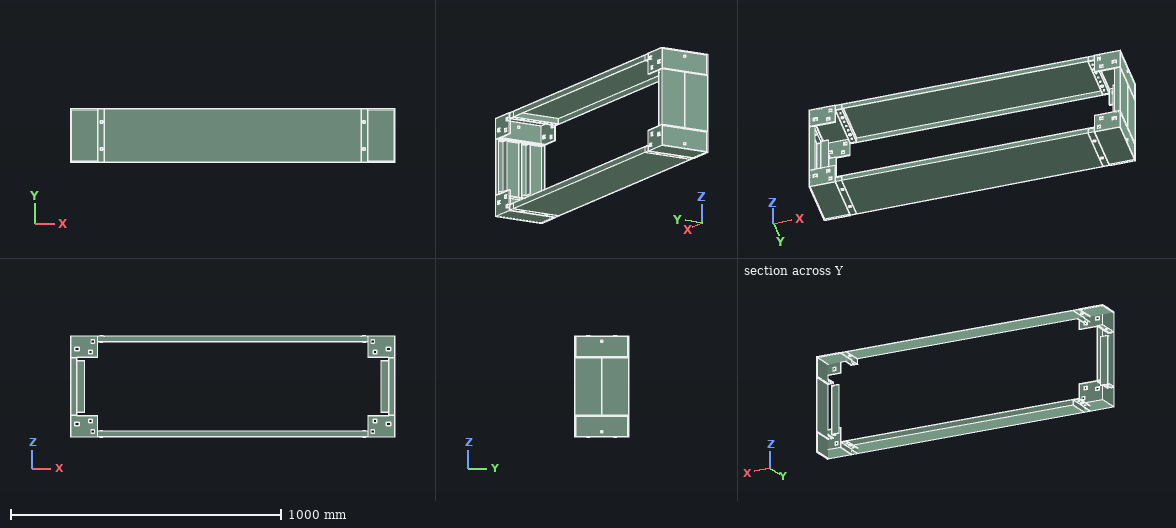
import cadquery as cq

FRAME_LENGTH = 1200.0
FRAME_DEPTH = 200.0
FRAME_HEIGHT = 375.0
HALF_LENGTH = FRAME_LENGTH / 2
HALF_HEIGHT = FRAME_HEIGHT / 2

CORNER_LENGTH = 100.0
CORNER_HEIGHT = 80.0
CORNER_PLATE = 3.0
CORNER_SIDE_WALL = 5.0
RIM_FLANGE_WIDTH = 25.0
SQUARE_HOLE = 12.0
LONG_HOLE = 16.0
SIDE_HOLES = [(82.5, 21.0, SQUARE_HOLE), (73.5, 60.0, SQUARE_HOLE), (23.5, 49.0, LONG_HOLE)]
END_HOLE_DIAMETER = 9.0
END_HOLE_DROP = 20.0

JOINT_HOLE_DIAMETER = 6.0
JOINT_HOLE_INSET = 11.0

SHEET = 1.5
BEND = 3.0
FLANGE = 23.0

PANEL_LENGTH = FRAME_LENGTH - 2 * CORNER_LENGTH
LIP_WIDTH = 26.0
LIP_LENGTH = 192.0
LIP_HOLE_DIAMETER = 5.0
LIP_HOLE_PITCH = 25.0
LIP_HOLE_STEPS = [-3, -1, 0, 1, 3]
BOLT_STEPS = [-2, 2]
BOLT_INSET = 14.0
BOLT_SHANK = 8.0
BOLT_HEAD = 12.0
BOLT_HEAD_BEVEL = 1.0
BOLT_HEAD_HEIGHT = 1.35

END_PANEL_WIDTH = FRAME_DEPTH / 2
END_PANEL_HEIGHT = FRAME_HEIGHT - 2 * CORNER_HEIGHT
RETURN_WIDTH = 20.0
LEAF_DEPTH = 29.0
LEAF_HEIGHT = 192.0
TAB_DEPTH = 18.0


def block(x_range, y_range, z_range):
    """Box between two limits on each axis, given in either order."""
    limits = [sorted(pair) for pair in (x_range, y_range, z_range)]
    sizes = [high - low for low, high in limits]
    lows = tuple(low for low, high in limits)
    return cq.Workplane("XY").box(*sizes, centered=False).translate(lows)


def joint_hole(x, y, z):
    """Cutter for a vertical joint hole through the sheets that meet at height z."""
    cutter = cq.Workplane("XY").circle(JOINT_HOLE_DIAMETER / 2).extrude(CORNER_PLATE, both=True)
    return cutter.translate((x, y, z))


def make_corner(side, level):
    """Open box with an outer plate, an end wall with a turned-in rim, and two side walls.

    side is -1 or +1 along X, level is -1 or +1 along Z.
    """
    end_x = side * HALF_LENGTH
    outer_z = level * HALF_HEIGHT
    mouth_x = end_x - side * CORNER_LENGTH
    rim_z = outer_z - level * CORNER_HEIGHT
    half_inside = FRAME_DEPTH / 2 - CORNER_SIDE_WALL

    corner = block((mouth_x, end_x), (-FRAME_DEPTH / 2, FRAME_DEPTH / 2), (rim_z, outer_z))
    corner = corner.cut(block(
        (mouth_x, end_x - side * CORNER_PLATE),
        (-half_inside, half_inside),
        (rim_z, outer_z - level * CORNER_PLATE),
    ))
    corner = corner.union(block(
        (end_x, end_x - side * RIM_FLANGE_WIDTH),
        (-half_inside, half_inside),
        (rim_z, rim_z + level * CORNER_PLATE),
    ))
    for joint_y in (-END_PANEL_WIDTH / 2, END_PANEL_WIDTH / 2):
        corner = corner.cut(joint_hole(end_x - side * JOINT_HOLE_INSET, joint_y, rim_z))
    for from_end, from_outer, length in SIDE_HOLES:
        hole = cq.Workplane("XY").box(length, 2 * FRAME_DEPTH, SQUARE_HOLE)
        corner = corner.cut(hole.translate((end_x - side * from_end, 0, outer_z - level * from_outer)))
    end_hole = cq.Workplane("YZ").circle(END_HOLE_DIAMETER / 2).extrude(CORNER_PLATE, both=True)
    return corner.cut(end_hole.translate((end_x, 0, outer_z - level * END_HOLE_DROP)))


def make_bolt():
    """Bolt along Z with its outer head on z = 0 and its inner head below the lip."""
    shank = cq.Workplane("XY").circle(BOLT_SHANK / 2).extrude(-FLANGE)
    outer_head = cq.Workplane("XY").circle(BOLT_HEAD / 2).extrude(BOLT_HEAD_HEIGHT)
    outer_head = outer_head.faces(">Z").chamfer(BOLT_HEAD_BEVEL)
    inner_head = outer_head.mirror("XY").translate((0, 0, -FLANGE))
    return shank.union(outer_head).union(inner_head)


def make_top_panel():
    """Downward tray whose ends step out into perforated lips held by bolts."""
    top_z = HALF_HEIGHT
    half_length = PANEL_LENGTH / 2
    half_depth = FRAME_DEPTH / 2
    full_x = (-half_length, half_length)

    panel = block(full_x, (-half_depth, half_depth), (top_z - FLANGE, top_z))
    panel = panel.edges("|X and >Z").fillet(BEND)
    panel = panel.cut(block(full_x, (SHEET - half_depth, half_depth - SHEET), (top_z - FLANGE, top_z - SHEET)))

    for side in (-1, 1):
        end_x = side * half_length
        step_x = end_x - side * LIP_WIDTH
        inside_y = (-LIP_LENGTH / 2, LIP_LENGTH / 2)
        wall = block((step_x, step_x + side * SHEET), inside_y, (top_z - FLANGE, top_z - SHEET))
        lip = block((step_x, end_x), inside_y, (top_z - FLANGE, top_z - FLANGE + SHEET))
        end_wall = block((end_x - side * SHEET, end_x), inside_y, (top_z - FLANGE, top_z - SHEET))
        panel = panel.union(wall).union(lip).union(end_wall)
        bolt_x = end_x - side * BOLT_INSET
        for step in LIP_HOLE_STEPS:
            hole = cq.Workplane("XY").circle(LIP_HOLE_DIAMETER / 2).extrude(SHEET)
            panel = panel.cut(hole.translate((bolt_x, step * LIP_HOLE_PITCH, top_z - FLANGE)))
        for step in BOLT_STEPS:
            panel = panel.union(make_bolt().translate((bolt_x, step * LIP_HOLE_PITCH, top_z)))
    return panel


def make_end_panel(side, near_y):
    """Shallow tray on end, with a return lip and an inward leaf along its +Y edge."""
    end_x = side * HALF_LENGTH
    flange_x = end_x - side * FLANGE
    inner_x = end_x - side * SHEET
    far_y = near_y + END_PANEL_WIDTH
    leaf_y = far_y - RETURN_WIDTH
    half_height = END_PANEL_HEIGHT / 2
    full_z = (-half_height, half_height)
    leaf_z = (-LEAF_HEIGHT / 2, LEAF_HEIGHT / 2)

    panel = block((flange_x, end_x), (near_y, far_y), full_z)
    panel = panel.cut(block((flange_x, inner_x), (near_y + SHEET, far_y - SHEET), full_z))
    lip_back_x = flange_x + side * SHEET
    leaf_tip_x = flange_x - side * LEAF_DEPTH
    return_lip = block((flange_x, lip_back_x), (leaf_y, far_y), leaf_z)
    leaf = block((lip_back_x, leaf_tip_x), (leaf_y, leaf_y + SHEET), leaf_z)
    panel = panel.union(return_lip).union(leaf)

    joint_x = end_x - side * JOINT_HOLE_INSET
    joint_y = near_y + END_PANEL_WIDTH / 2
    for level in (-1, 1):
        edge_z = level * half_height
        tab = block((end_x - side * TAB_DEPTH, inner_x), (near_y, far_y), (edge_z - level * SHEET, edge_z))
        panel = panel.union(tab).cut(joint_hole(joint_x, joint_y, edge_z))
    return panel


corners = [make_corner(side, level) for side in (-1, 1) for level in (-1, 1)]
top_panel = make_top_panel()
bottom_panel = top_panel.mirror("XY")
end_panels = [make_end_panel(side, near_y) for side in (-1, 1) for near_y in (-END_PANEL_WIDTH, 0)]

bodies = [*corners, top_panel, bottom_panel, *end_panels]
result = cq.Compound.makeCompound([body.val() for body in bodies])